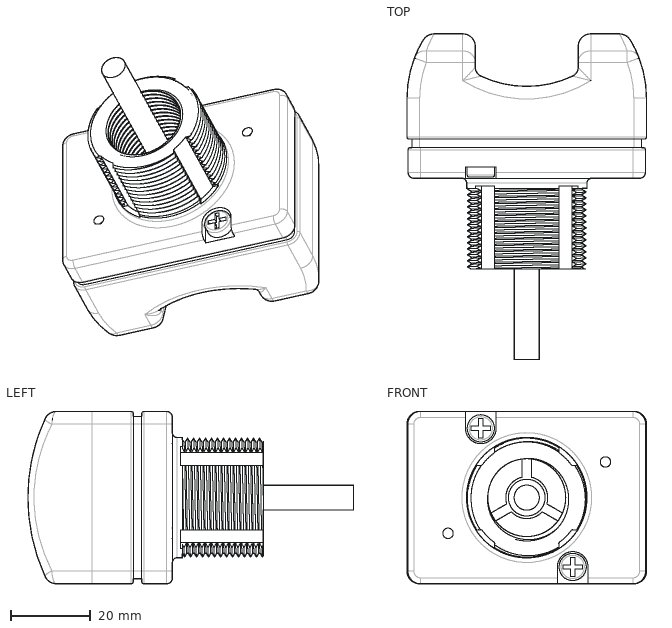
import cadquery as cq
import math


overlap = 1.0
margin = 0.1

cap_width = 59.99
plate_width = 59.5
housing_height = 43.18
corner_radius = 3.2
plate_thickness = 7.7
plate_face_fillet = 1.5
seam_fillet = 0.55
seam_inset = 1.25
seam_gap = 2.1
cap_start = plate_thickness + seam_gap
cap_end = 36.2
cap_side_arc_start = 20.1
cap_side_radius = 28.0
cap_back_radius = 47.5
cap_edge_fillet = 3.2

notch_half_width = 12.85
notch_floor = 23.05
notch_floor_radius = 27.0
notch_corner_radius = 2.4
notch_wall = 3.0

collar_radius = 15.1
collar_length = 2.5
collar_flare = 1.15
stem_length = 22.75
thread_pitch = 1.5
thread_core_radius = 13.95
thread_major_radius = 14.9
thread_crest_at = 1.9
slot_start = 1.96
slot_floor_radius = 13.85
slot_wall_offset = 8.05

bore_radius = 10.85
bore_minor_radius = 9.75
bore_thread_pitch = 1.5
bore_groove_at = 1.94

thread_base_share = 0.94
thread_root_overlap = 0.2

cable_radius = 3.15
cable_end = 45.35
hub_radius = 5.25
hub_mouth_radius = 4.6
spoke_width = 2.3
spoke_count = 3

screw_x = 11.5
screw_z = 17.35
screw_pocket_radius = 3.84
screw_pocket_depth = 2.8
screw_head_radius = 3.4
screw_head_height = 2.5
screw_head_fillet = 0.5
cross_length = 4.8
cross_width = 1.05
cross_depth = 1.2

pin_hole_x = 19.7
pin_hole_z = 8.93
pin_hole_radius = 1.3
pin_hole_depth = 3.0


def front_plane(y):
    """Sketch plane at the given Y: local x is X, local y is Z, extrusion runs toward -Y."""
    return cq.Workplane("XZ", origin=(0, y, 0))


def rounded_block(width, height, radius, y_start, y_end):
    block = front_plane(y_end).rect(width, height).extrude(y_end - y_start)
    return block.edges("|Y").fillet(radius)


def cylinder(radius, y_start, y_end):
    return front_plane(y_end).circle(radius).extrude(y_end - y_start)


def thread_ridge(root_radius, crest_radius, pitch, first_crest, last_crest):
    """Right-handed V ridge around Y; crests are given as distances below the mounting face on +X."""
    half_base = thread_base_share * pitch / 2
    path = cq.Wire.makeHelix(pitch, last_crest - first_crest, root_radius)
    ridge = (
        cq.Workplane("XZ")
        .moveTo(root_radius, -half_base)
        .lineTo(crest_radius, 0)
        .lineTo(root_radius, half_base)
        .close()
        .sweep(cq.Workplane(obj=path), isFrenet=True)
    )
    return ridge.translate((0, 0, first_crest)).rotate((0, 0, 0), (1, 0, 0), 90)


def make_plate():
    plate = rounded_block(plate_width, housing_height, corner_radius, 0, plate_thickness)
    plate = plate.faces("<Y").edges().fillet(plate_face_fillet)
    return plate.faces(">Y").edges().fillet(seam_fillet)


def make_seam():
    return rounded_block(
        cap_width - 2 * seam_inset,
        housing_height - 2 * seam_inset,
        corner_radius - seam_inset,
        plate_thickness - overlap,
        cap_start + overlap,
    )


def arc_drop(radius, distance):
    """Distance that an arc falls away from its tangent at a given distance along it."""
    return radius - math.sqrt(radius**2 - distance**2)


def make_cap():
    half_width = cap_width / 2
    half_height = housing_height / 2
    arc_rise = cap_end - cap_side_arc_start
    back_half_width = half_width - arc_drop(cap_side_radius, arc_rise)
    mid_half_width = half_width - arc_drop(cap_side_radius, arc_rise / 2)
    mid_y = cap_side_arc_start + arc_rise / 2
    notch_edge = notch_floor + arc_drop(notch_floor_radius, notch_half_width)

    plan = (
        cq.Workplane("XY", origin=(0, 0, -half_height))
        .moveTo(-half_width, cap_start)
        .lineTo(half_width, cap_start)
        .lineTo(half_width, cap_side_arc_start)
        .threePointArc((mid_half_width, mid_y), (back_half_width, cap_end))
        .lineTo(notch_half_width, cap_end)
        .lineTo(notch_half_width, notch_edge)
        .threePointArc((0, notch_floor), (-notch_half_width, notch_edge))
        .lineTo(-notch_half_width, cap_end)
        .lineTo(-back_half_width, cap_end)
        .threePointArc((-mid_half_width, mid_y), (-half_width, cap_side_arc_start))
        .close()
        .extrude(housing_height)
    )
    back_edge = cap_end - arc_drop(cap_back_radius, half_height)
    side = (
        cq.Workplane("YZ", origin=(-half_width, 0, 0))
        .moveTo(cap_start, -half_height)
        .lineTo(back_edge, -half_height)
        .threePointArc((cap_end, 0), (back_edge, half_height))
        .lineTo(cap_start, half_height)
        .close()
        .extrude(cap_width)
    )
    cap = plan.intersect(side)

    corner_edges = cq.selectors.BoxSelector(
        (-notch_half_width - margin, notch_floor, -margin),
        (notch_half_width + margin, notch_edge + margin, margin),
    )
    seam_edges = cq.selectors.BoxSelector(
        (-cap_width, cap_start - margin, -housing_height),
        (cap_width, cap_start + margin, housing_height),
    )
    outer_edges = cap.edges(cq.selectors.InverseSelector(corner_edges + seam_edges))
    cap = outer_edges.fillet(cap_edge_fillet)
    cap = cap.edges(corner_edges).fillet(notch_corner_radius)
    return cap.faces("<Y").edges().fillet(seam_fillet)


def make_stem():
    """Collar with a concave flare into the mounting face, and a threaded stem keyed by four slots."""
    collar = (
        cq.Workplane("XY")
        .lineTo(collar_radius + collar_flare, 0)
        .radiusArc((collar_radius, -collar_flare), -collar_flare)
        .lineTo(collar_radius, -collar_length)
        .lineTo(0, -collar_length)
        .close()
        .revolve(360, (0, 0, 0), (0, 1, 0))
    )
    core = cylinder(thread_core_radius, -stem_length, 0)
    ridge = thread_ridge(
        thread_core_radius - thread_root_overlap,
        thread_major_radius,
        thread_pitch,
        thread_crest_at,
        stem_length + 2 * thread_pitch,
    )
    ridge = ridge.intersect(cylinder(collar_radius, -stem_length, -collar_length + overlap))
    stem = core.union(ridge).union(collar)
    stem = stem.cut(cylinder(bore_minor_radius, -stem_length, 0))
    return stem.cut(make_bore_groove()).cut(make_slots())


def make_slots():
    """Slots on the four diagonals: round floors, with walls square to X and Z."""
    slot_size = 2 * collar_radius
    corner_centre = slot_wall_offset + slot_size / 2
    slots = (
        front_plane(-slot_start)
        .rect(2 * corner_centre, 2 * corner_centre, forConstruction=True)
        .vertices()
        .rect(slot_size, slot_size)
        .extrude(stem_length)
    )
    return slots.cut(cylinder(slot_floor_radius, -stem_length - slot_start, -slot_start))


def make_bore_groove():
    """Groove of the internal thread, from the mounting face to the mouth of the stem."""
    groove = thread_ridge(
        bore_minor_radius - thread_root_overlap,
        bore_radius,
        bore_thread_pitch,
        bore_groove_at,
        stem_length + 2 * bore_thread_pitch,
    )
    return groove.intersect(cylinder(collar_radius, -stem_length, 0))


def make_spoke_windows():
    """Openings around the hub, reaching back to the inner face of the saddle wall."""
    windows = cylinder(bore_minor_radius, 0, notch_floor)
    windows = windows.cut(cylinder(hub_radius, 0, notch_floor))
    for index in range(spoke_count):
        spoke = (
            front_plane(notch_floor)
            .center(0, bore_radius / 2)
            .rect(spoke_width, bore_radius)
            .extrude(notch_floor)
            .rotate((0, 0, 0), (0, 1, 0), index * 360 / spoke_count)
        )
        windows = windows.cut(spoke)
    return windows


def make_saddle_wall():
    """Cylinder along Z, concentric with the notch floor, that closes the back of the windows."""
    wall_radius = notch_floor_radius + notch_wall
    return (
        cq.Workplane("XY", origin=(0, notch_floor + notch_floor_radius, -bore_radius))
        .circle(wall_radius)
        .extrude(2 * bore_radius)
    )


def make_hub_mouth():
    mouth_depth = hub_mouth_radius - cable_radius
    mouth = front_plane(0).circle(hub_mouth_radius).workplane(offset=-mouth_depth)
    return mouth.circle(cable_radius).loft()


def make_screw_pocket():
    """Round-ended pocket for the upper screw, open to the top side."""
    to_side = housing_height / 2 - screw_z + overlap
    round_end = cylinder(screw_pocket_radius, 0, screw_pocket_depth)
    channel = (
        front_plane(screw_pocket_depth)
        .center(0, to_side / 2)
        .rect(2 * screw_pocket_radius, to_side)
        .extrude(screw_pocket_depth)
    )
    return round_end.union(channel).translate((-screw_x, 0, screw_z))


def make_screw():
    head_top = screw_pocket_depth - screw_head_height
    head = cylinder(screw_head_radius, head_top, screw_pocket_depth + overlap)
    head = head.faces("<Y").edges().fillet(screw_head_fillet)
    for length, width in ((cross_length, cross_width), (cross_width, cross_length)):
        arm = front_plane(head_top + cross_depth).rect(length, width).extrude(cross_depth)
        head = head.cut(arm)
    return head.translate((-screw_x, 0, screw_z))


def opposite(shape):
    """Copy of a shape turned half a turn about the stem axis."""
    return shape.rotate((0, 0, 0), (0, 1, 0), 180)


housing = make_plate().union(make_seam()).union(make_cap())
housing = housing.cut(make_spoke_windows().cut(make_saddle_wall()))

pocket = make_screw_pocket()
screw = make_screw()
pin_hole = cylinder(pin_hole_radius, 0, pin_hole_depth).translate((pin_hole_x, 0, pin_hole_z))
housing = housing.cut(pocket).cut(opposite(pocket))
housing = housing.union(screw).union(opposite(screw))
housing = housing.cut(pin_hole).cut(opposite(pin_hole))

cable = cylinder(cable_radius, -cable_end, notch_floor - notch_wall)
housing = housing.cut(make_hub_mouth()).union(cable)

result = housing.union(make_stem())